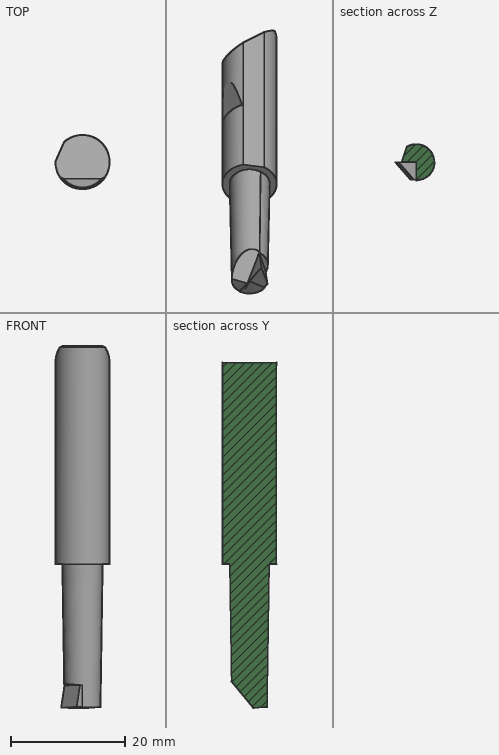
import cadquery as cq
import math

length = 63.5
shank_radius = 4.75
shank_bottom = 25.3

neck_bottom_radius = 3.2
neck_top_radius = 3.55
back_clearance = 0.05

end_flat_y = -2.9
end_chamfer = 0.3

flat_start = 1.0
flat_angle = 46.0

notch_top = 48.9
notch_root = 40.95
notch_bottom = 40.5
notch_depth = 1.15

head_height = 4.05
step_rise = 0.3
tip_x = -3.75
land_x = -1.0
land_y = -3.1
rake_lean = 0.6

bottom_rise = 0.25
tip_rise = 0.1

relief_top = 4.7
relief_turn = 19.0
relief_tilt = 38.0

margin = 3.2


def make_shank():
    """Round shank with a chamfered, sloped top end."""
    shank = cq.Workplane("XY", origin=(0, 0, shank_bottom)).circle(shank_radius).extrude(length - shank_bottom)
    shank = shank.faces(">Z").chamfer(end_chamfer)
    reach = shank_radius + margin
    rise = reach - end_flat_y
    slope = (
        cq.Workplane("YZ")
        .polyline([(end_flat_y, length), (reach, length - rise), (reach, length)])
        .close()
        .extrude(reach, both=True)
    )
    return shank.cut(slope)


def cut_flat(shank):
    """Flat along the whole shank on its -X, +Y side."""
    half_angle = math.radians(flat_angle / 2)
    flat_distance = shank_radius * math.cos(half_angle)
    cutter = (
        cq.Workplane("XY")
        .box(margin, 2 * shank_radius, length, centered=(False, True, False))
        .translate((flat_distance, 0, 0))
        .rotate((0, 0, 0), (0, 0, 1), 180 - flat_start - flat_angle / 2)
    )
    return shank.cut(cutter)


def cut_notch(shank):
    """Shallow notch with a long ramp above its deepest line."""
    root_y = shank_radius - notch_depth
    cutter = (
        cq.Workplane("YZ")
        .polyline([(shank_radius, notch_top), (root_y, notch_root), (shank_radius, notch_bottom)])
        .close()
        .extrude(shank_radius, both=True)
    )
    return shank.cut(cutter)


def half_neck(clearance):
    """Half of the tapered neck on the -Y side, drawn in all round by a clearance."""
    bottom_radius = neck_bottom_radius - clearance
    top_radius = neck_top_radius - clearance
    return (
        cq.Workplane("XZ")
        .polyline([(0, 0), (-bottom_radius, bottom_rise), (-top_radius, shank_bottom), (0, shank_bottom)])
        .close()
        .revolve(180, (0, 0, 0), (0, 1, 0))
    )


def make_neck():
    """Tapered neck with a shallow conical bottom."""
    front_half = half_neck(0)
    back_half = half_neck(back_clearance).rotate((0, 0, 0), (0, 0, 1), 180)
    return front_half.union(back_half)


def clear_rake(neck):
    """Remove the -X, -Y quarter of the neck's lower end up to a step that rises outwards."""
    cutter = (
        cq.Workplane("XZ")
        .polyline([(0, 0), (0, head_height), (-neck_top_radius, head_height + step_rise), (-neck_top_radius, 0)])
        .close()
        .extrude(neck_top_radius)
    )
    return neck.cut(cutter)


def cut_relief(neck):
    """Sloping relief plane on the +Y half, rising towards -X."""
    size = 4 * shank_radius
    cutter = (
        cq.Workplane("XY")
        .box(size, size, size, centered=(False, True, True))
        .rotate((0, 0, 0), (0, 1, 0), relief_tilt)
        .rotate((0, 0, 0), (0, 0, 1), 180 - relief_turn)
        .translate((-neck_bottom_radius, 0, relief_top))
    )
    back_half = cq.Workplane("XY").box(size, size, size, centered=(True, False, True))
    return neck.cut(cutter.intersect(back_half))


def make_tip():
    """Cutting tip: its rake face leans outwards towards the bottom."""
    corners = [(0, 0), (tip_x, 0), (land_x, land_y), (0, land_y)]
    bottom = [cq.Vector(x, y, tip_rise * x / tip_x + bottom_rise * y / land_y) for x, y in corners]
    top = [
        cq.Vector(0, 0, head_height),
        cq.Vector(tip_x + rake_lean, 0, head_height),
        cq.Vector(land_x + rake_lean, land_y, head_height),
        cq.Vector(0, land_y, head_height),
    ]
    wires = [cq.Wire.makePolygon(points, close=True) for points in (bottom, top)]
    return cq.Workplane(cq.Solid.makeLoft(wires, True))


shank = cut_notch(cut_flat(make_shank()))
neck = cut_relief(clear_rake(make_neck()))
result = shank.union(neck).union(make_tip())